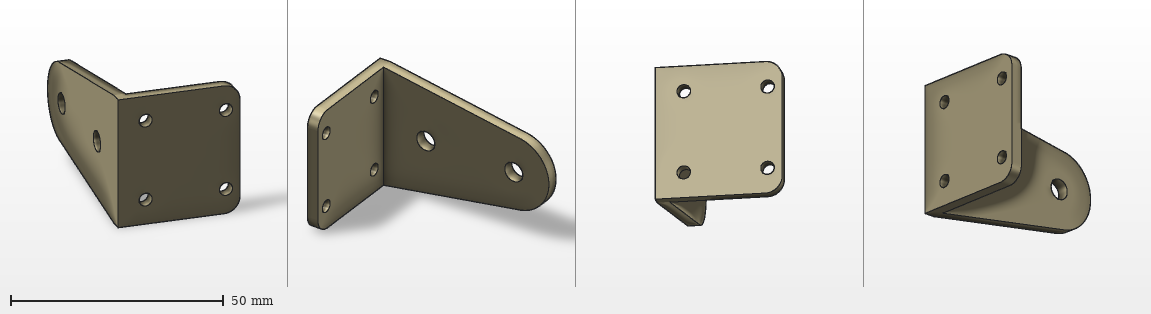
import cadquery as cq
import math

length = 50.0
depth = 30.35
height = 32.4
thickness = 3.0

nose_radius = 10.0
arc_end_x = 9.05
plate_hole_diameter = 5.1
plate_hole_spacing = 25.0

corner_radius = 4.0
flange_hole_diameter = 3.2
flange_hole_spacing = 20.0
flange_hole_edge_distance = 3.5

half_height = height / 2
flange_x = length - thickness


def make_tapered_plate():
    """Plate in XZ whose straight sides run from its round nose to the flange."""
    arc_end_z = math.sqrt(nose_radius**2 - (nose_radius - arc_end_x) ** 2)
    plate = (
        cq.Workplane("XZ")
        .moveTo(length, -half_height)
        .lineTo(length, half_height)
        .lineTo(flange_x, half_height)
        .lineTo(arc_end_x, arc_end_z)
        .threePointArc((0, 0), (arc_end_x, -arc_end_z))
        .lineTo(flange_x, -half_height)
        .close()
        .extrude(-thickness)
    )
    hole_positions = [(nose_radius, 0), (nose_radius + plate_hole_spacing, 0)]
    holes = (
        cq.Workplane("XZ")
        .pushPoints(hole_positions)
        .circle(plate_hole_diameter / 2)
        .extrude(-thickness)
    )
    return plate.cut(holes)


def make_flange():
    """Plate in YZ with rounded free corners and a square pattern of holes."""
    pattern_center_y = depth - flange_hole_edge_distance - flange_hole_spacing / 2
    flange = (
        cq.Workplane("YZ", origin=(flange_x, 0, 0))
        .center(depth / 2, 0)
        .rect(depth, height)
        .extrude(thickness)
        .edges("|X and >Y")
        .fillet(corner_radius)
    )
    holes = (
        cq.Workplane("YZ", origin=(flange_x, pattern_center_y, 0))
        .rect(flange_hole_spacing, flange_hole_spacing, forConstruction=True)
        .vertices()
        .circle(flange_hole_diameter / 2)
        .extrude(thickness)
    )
    return flange.cut(holes)


result = make_tapered_plate().union(make_flange())